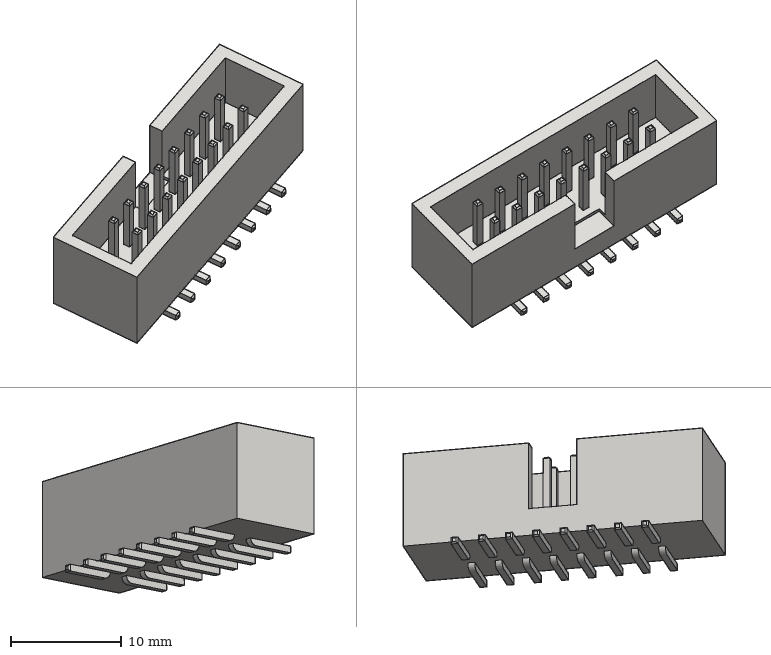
import cadquery as cq
import math

housing_length = 27.95
housing_width = 9.02
overall_width = 11.6
overall_height = 9.65
side_wall = 1.35
end_wall = 1.12
cavity_depth = 6.05

notch_width = 4.47
notch_reach = 2.2
notch_depth = 6.4

rows = 8
pitch = 2.55
wire = 0.65
tip_chamfer = 0.155
tip_below_rim = 0.34

housing_bottom = wire
housing_height = overall_height - housing_bottom
cavity_length = housing_length - 2 * end_wall
cavity_width = housing_width - 2 * side_wall


def make_housing():
    """Rectangular box with the cavity and the polarising notch removed from the top."""
    block = cq.Workplane("XY").workplane(offset=housing_bottom).box(
        housing_width, housing_length, housing_height, centered=(True, True, False)
    )
    rim = cq.Workplane("XY").workplane(offset=overall_height)
    cavity = rim.rect(cavity_width, cavity_length).extrude(-cavity_depth)
    notch = (
        rim.center((notch_reach - housing_width) / 2, 0)
        .rect(notch_reach, notch_width)
        .extrude(-notch_depth)
    )
    return block.cut(cavity).cut(notch)


def make_contact():
    """Contact of the +X column, centred on Y = 0."""
    post_inner_x = (pitch - wire) / 2
    tail_end = overall_width / 2
    post_top = overall_height - tip_below_rim

    post = (
        cq.Workplane("XY")
        .workplane(offset=housing_bottom)
        .center(pitch / 2, 0)
        .rect(wire, wire)
        .extrude(post_top - housing_bottom)
        .faces(">Z")
        .chamfer(tip_chamfer)
    )
    bend_end_x = post_inner_x + wire
    bend_mid = wire * math.sqrt(0.5)
    tail = (
        cq.Workplane("XZ")
        .moveTo(post_inner_x, wire)
        .threePointArc((bend_end_x - bend_mid, wire - bend_mid), (bend_end_x, 0))
        .lineTo(tail_end, 0)
        .lineTo(tail_end, wire)
        .close()
        .extrude(wire / 2, both=True)
        .faces(">X")
        .chamfer(tip_chamfer)
    )
    return post.union(tail)


result = make_housing()
right_contact = make_contact()
left_contact = right_contact.mirror("YZ")
for row in range(rows):
    row_y = (row - (rows - 1) / 2) * pitch
    for contact in (right_contact, left_contact):
        result = result.union(contact.translate((0, row_y, 0)))